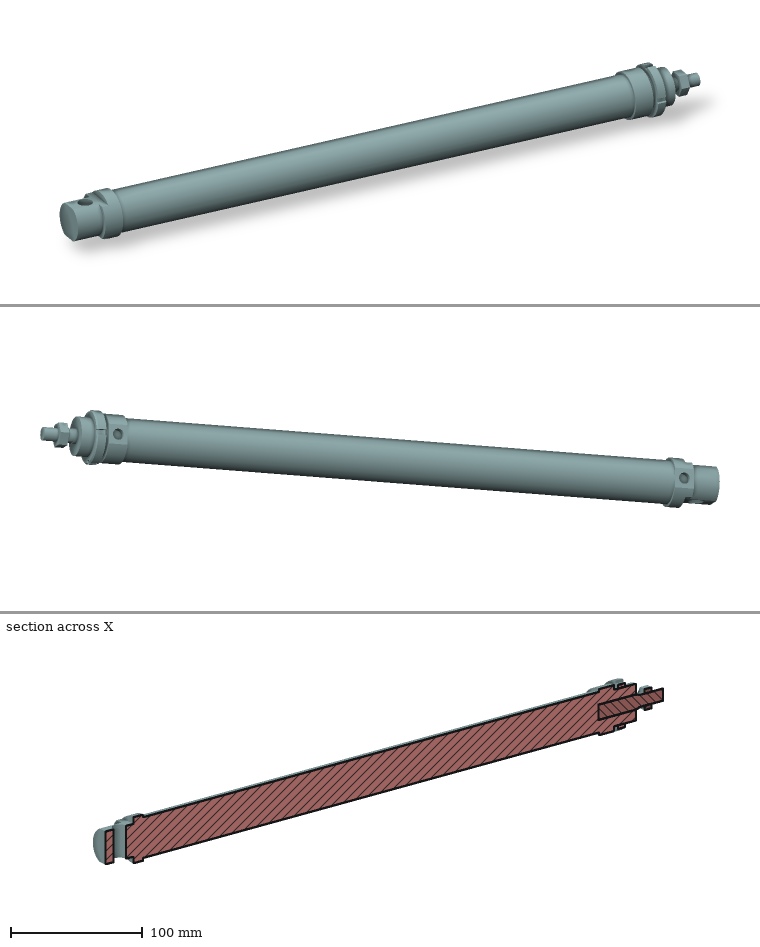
import cadquery as cq
import math

length = 539.0

lug_diameter = 30.0
flat_thickness = 27.0
rear_flat_end = 27.0
pin_hole_diameter = 12.0
pin_hole_y = 14.0
collar_diameter = 37.5
rear_collar_start = 21.5
rear_collar_end = 36.5

tube_diameter = 33.5
front_collar_start = length - 62.5
front_collar_end = length - 47.5
neck_diameter = 30.0
neck_end = length - 26.5

port_diameter = 8.5
port_depth = 5.5
port_flat_x = -17.0

rod_diameter = 12.0
thread_diameter = 10.0
thread_start = length - 20.0
rod_start = front_collar_start
wrench_flat_start = length - 23.5
wrench_flat_thickness = 10.0

rod_nut_start = length - 18.5
rod_nut_end = length - 11.5
rod_nut_across_flats = 17.0

mounting_nut_start = length - 44.0
mounting_nut_end = length - 36.5
mounting_nut_diameter = 41.5
mounting_nut_chamfer = 1.0
slot_width = 4.5
slot_depth = 2.5
slot_count = 4


def rod_along_y(diameter, start, end):
    """Solid cylinder on the Y axis between two Y positions."""
    return cq.Workplane("XZ", origin=(0, start, 0)).circle(diameter / 2).extrude(start - end)


def flat_pair_cutter(thickness, start, end):
    """Two blocks that leave a given Z thickness between them."""
    span = end - start
    middle = (start + end) / 2
    block = cq.Workplane("XY").box(collar_diameter, span, collar_diameter)
    offset = (thickness + collar_diameter) / 2
    upper = block.translate((0, middle, offset))
    lower = block.translate((0, middle, -offset))
    return upper.union(lower)


def cut_port(body, collar_start, collar_end):
    """Flatten the -X side of a collar and drill a blind port into the flat."""
    middle = (collar_start + collar_end) / 2
    flat_cutter = cq.Workplane("XY").box(
        collar_diameter, collar_end - collar_start, collar_diameter
    ).translate((port_flat_x - collar_diameter / 2, middle, 0))
    port = cq.Workplane("YZ", origin=(port_flat_x, middle, 0)).circle(port_diameter / 2).extrude(port_depth)
    return body.cut(flat_cutter).cut(port)


def make_housing():
    """Lug, collars, tube and front neck with the bore for the rod."""
    body = rod_along_y(lug_diameter, 0, rear_collar_start)
    body = body.union(rod_along_y(collar_diameter, rear_collar_start, rear_collar_end))
    body = body.union(rod_along_y(tube_diameter, rear_collar_end, front_collar_start))
    body = body.union(rod_along_y(collar_diameter, front_collar_start, front_collar_end))
    body = body.union(rod_along_y(neck_diameter, front_collar_end, neck_end))

    body = body.cut(flat_pair_cutter(flat_thickness, 0, rear_flat_end))
    pin_hole = cq.Workplane("XY", origin=(0, pin_hole_y, 0)).circle(pin_hole_diameter / 2)
    body = body.cut(pin_hole.extrude(flat_thickness, both=True))

    body = cut_port(body, rear_collar_start, rear_collar_end)
    body = cut_port(body, front_collar_start, front_collar_end)
    return body.cut(rod_along_y(rod_diameter, rod_start, neck_end))


def make_piston_rod():
    """Rod with wrench flats and a narrower threaded end."""
    rod = rod_along_y(rod_diameter, rod_start, thread_start)
    rod = rod.cut(flat_pair_cutter(wrench_flat_thickness, wrench_flat_start, thread_start))
    return rod.union(rod_along_y(thread_diameter, thread_start, length))


def make_rod_nut():
    """Hexagonal nut with corners on the X axis."""
    across_corners = rod_nut_across_flats / math.cos(math.pi / 6)
    thickness = rod_nut_end - rod_nut_start
    hexagon = cq.Workplane("XZ", origin=(0, rod_nut_start, 0)).polygon(6, across_corners).extrude(-thickness)
    return hexagon.cut(rod_along_y(thread_diameter, rod_nut_start, rod_nut_end))


def make_mounting_nut():
    """Round nut on the front neck, chamfered in front, with slots spaced evenly around its rim."""
    thickness = mounting_nut_end - mounting_nut_start
    middle = (mounting_nut_start + mounting_nut_end) / 2
    nut = rod_along_y(mounting_nut_diameter, mounting_nut_start, mounting_nut_end)
    nut = nut.faces(">Y").chamfer(mounting_nut_chamfer)
    nut = nut.cut(rod_along_y(neck_diameter, mounting_nut_start, mounting_nut_end))
    slot = cq.Workplane("XY").box(2 * slot_depth, thickness, slot_width)
    slot = slot.translate((mounting_nut_diameter / 2, middle, 0))
    for index in range(slot_count):
        nut = nut.cut(slot.rotate((0, 0, 0), (0, 1, 0), index * 360 / slot_count))
    return nut


housing = make_housing()
piston_rod = make_piston_rod()
rod_nut = make_rod_nut()
mounting_nut = make_mounting_nut()

result = cq.Compound.makeCompound(
    [housing.val(), piston_rod.val(), rod_nut.val(), mounting_nut.val()]
)